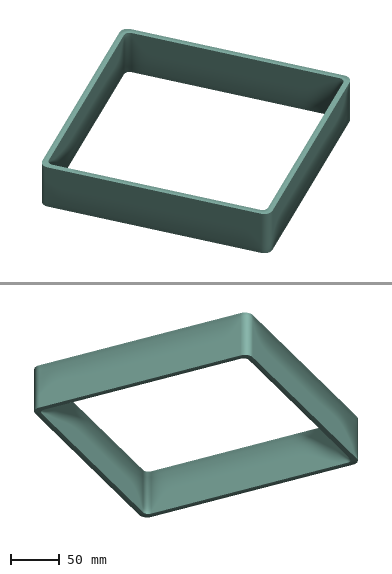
import cadquery as cq

outer_side = 250.0
height = 50.0
wall = 6.0
outer_corner_radius = 9.0
inner_corner_radius = 6.0

inner_side = outer_side - 2 * wall


def rounded_block(side, corner_radius):
    """Square block standing on Z = 0 with rounded vertical edges."""
    block = cq.Workplane("XY").rect(side, side).extrude(height)
    return block.edges("|Z").fillet(corner_radius)


result = rounded_block(outer_side, outer_corner_radius).cut(
    rounded_block(inner_side, inner_corner_radius)
)